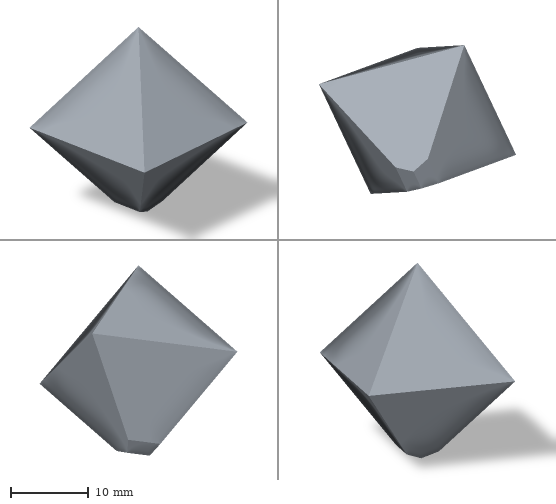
import cadquery as cq

height = 26.1
waist_side = 20.0
pyramid_height = 14.15
shoulder_height = 0.95

half_width = waist_side / 2
waist_z = height - pyramid_height
lower_point_z = waist_z - pyramid_height
shoulder_half_width = half_width * (shoulder_height - lower_point_z) / pyramid_height


def pyramid(point_z):
    """Square pyramid from the waist to a point on the Z axis."""
    corners = [
        (-half_width, -half_width, waist_z),
        (half_width, -half_width, waist_z),
        (half_width, half_width, waist_z),
        (-half_width, half_width, waist_z),
    ]
    point = (0, 0, point_z)
    faces = [cq.Face.makeFromWires(cq.Wire.makePolygon([cq.Vector(*p) for p in corners], close=True))]
    for start, end in zip(corners, corners[1:] + corners[:1]):
        edge_loop = [cq.Vector(*p) for p in (start, end, point)]
        faces.append(cq.Face.makeFromWires(cq.Wire.makePolygon(edge_loop, close=True)))
    return cq.Workplane(obj=cq.Solid.makeSolid(cq.Shell.makeShell(faces)))


foot_trim = (
    cq.Workplane("YZ")
    .moveTo(0, 0)
    .lineTo(shoulder_half_width, shoulder_height)
    .lineTo(half_width, waist_z)
    .lineTo(half_width, height)
    .lineTo(-half_width, height)
    .lineTo(-half_width, waist_z)
    .lineTo(-shoulder_half_width, shoulder_height)
    .close()
    .extrude(half_width, both=True)
)

result = pyramid(height).union(pyramid(lower_point_z)).intersect(foot_trim)